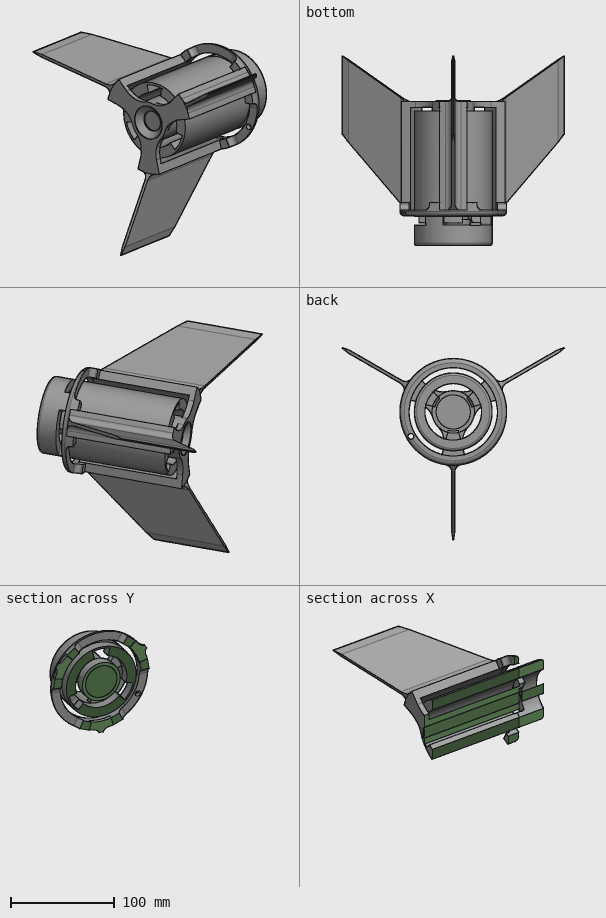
import cadquery as cq
import math


CLEARANCE = 2.1

REPEATS = 3
REPEAT_ANGLE = 360 / REPEATS
RING_RADIUS = 103.2 / 2
RING_BORE_RADIUS = 85.2 / 2
RING_REAR_Y = 105.0
RING_FRONT_Y = 110.5
RING_EDGE_FILLET = 4.3

ARM_HALF_ANGLE = 14.8
PAD_HALF_ANGLE = 26.2
PAD_REAR_Y = 97.8
PAD_FILLET = 5.8

SPIDER_THICKNESS = 5.8
CROWN_Z = 20.2
WAIST_X = 12.7
WAIST_Z = 19.5
NECK_X = 20.5
NECK_Z = 22.3

VENT_RADIUS = 5.4 / 2
VENT_CIRCLE_RADIUS = 47.2
VENT_ANGLE = -30

FIN_HALF_THICKNESS = 1.6
FIN_ROOT_FILLET = 7.0
FIN_TIP_RADIUS = 123.5
FIN_TIP_HALF_THICKNESS = 0.5
FIN_BEVEL_RADIUS = 115.9
FIN_ROOT_RADIUS = 51.7
FIN_TIP_FRONT_Y = 31.8
FIN_TIP_REAR_Y = -44.0

CORE_RADIUS = 41.0 / 2
LUG_INNER_RADIUS = 18.5
LUG_RADIUS = 34.3
LUG_HALF_ANGLE = 15
LUG_FRONT_Y = 117.4
LUG_CHAMFER = 2.1

TUBE_RADIUS = 75.3 / 2
TUBE_BORE_RADIUS = 27.2
TUBE_REAR_Y = 9.2
TUBE_FRONT_Y = 111.1
CHANNEL_RADIUS = 35.2
CAP_SHOULDER_Y = 119.5
CAP_FRONT_Y = 139.2
CAP_EDGE_FILLET = 2.4
POST_HALF_ANGLE = 15
WINDOW_FILLET = 1.3

MOTOR_RADIUS = 33.0 / 2
MOTOR_NECK_RADIUS = 29.0 / 2
MOTOR_REAR_Y = -0.9
NECK_FRONT_Y = 114.0
THROAT_RADIUS = 20.0 / 2
NOZZLE_DEPTH = 6.5
THROAT_DEPTH = 1.5

ARM_ANGLES = [30 + i * REPEAT_ANGLE for i in range(REPEATS)]
CHANNEL_ANGLES = [90 + i * REPEAT_ANGLE for i in range(REPEATS)]
WINDOW_ANGLES = [60 + i * REPEAT_ANGLE for i in range(REPEATS)]


def plane_at(y):
    """XZ sketch plane at the given Y; extrusions from it run towards -Y."""
    return cq.Workplane("XZ", origin=(0, y, 0))


def polar(radius, angle):
    """X and Z of a point given by its distance from the axis and its direction."""
    return (radius * math.cos(math.radians(angle)), radius * math.sin(math.radians(angle)))


def disc(radius, rear_y, front_y):
    return plane_at(front_y).circle(radius).extrude(front_y - rear_y)


def tube_between(radius, bore_radius, rear_y, front_y):
    return plane_at(front_y).circle(radius).circle(bore_radius).extrude(front_y - rear_y)


def sector(inner_radius, radius, angle, half_angle, rear_y, front_y):
    """Block bounded by two arcs about the axis and two radial faces."""
    start = angle - half_angle
    end = angle + half_angle
    return (
        plane_at(front_y)
        .moveTo(*polar(inner_radius, start))
        .lineTo(*polar(radius, start))
        .threePointArc(polar(radius, angle), polar(radius, end))
        .lineTo(*polar(inner_radius, end))
        .threePointArc(polar(inner_radius, angle), polar(inner_radius, start))
        .close()
        .extrude(front_y - rear_y)
    )


def turned(shape, angle):
    """Turn a shape about the axis, from +X towards +Z for a positive angle."""
    return shape.rotate((0, 0, 0), (0, 1, 0), -angle)


def rounded_band(radius, bore_radius, rear_y, front_y, edge_fillet):
    """Turned band whose outer front edge is rounded."""
    arc_inset = edge_fillet * (1 - math.sqrt(0.5))
    return (
        cq.Workplane("XY")
        .moveTo(bore_radius, rear_y)
        .lineTo(radius, rear_y)
        .lineTo(radius, front_y - edge_fillet)
        .threePointArc((radius - arc_inset, front_y - arc_inset), (radius - edge_fillet, front_y))
        .lineTo(bore_radius, front_y)
        .close()
        .revolve(360, (0, 0, 0), (0, 1, 0))
    )


def make_ring():
    """Front ring with pads on its rear face; the end of each arm sits in a socket between pads."""
    ring = rounded_band(RING_RADIUS, RING_BORE_RADIUS, PAD_REAR_Y, RING_FRONT_Y, RING_EDGE_FILLET)
    gap = sector(
        RING_BORE_RADIUS - CLEARANCE,
        RING_RADIUS + CLEARANCE,
        0,
        REPEAT_ANGLE / 2 - PAD_HALF_ANGLE,
        PAD_REAR_Y - CLEARANCE,
        RING_REAR_Y,
    )
    gap = gap.faces(">Y").edges("%LINE").fillet(PAD_FILLET)
    for angle in CHANNEL_ANGLES:
        ring = ring.cut(turned(gap, angle))
    for angle in ARM_ANGLES:
        socket = sector(
            RING_BORE_RADIUS - CLEARANCE,
            RING_RADIUS + CLEARANCE,
            angle,
            ARM_HALF_ANGLE,
            PAD_REAR_Y - CLEARANCE,
            RING_REAR_Y,
        )
        ring = ring.cut(socket)
    vent_x, vent_z = polar(VENT_CIRCLE_RADIUS, VENT_ANGLE)
    vent = disc(VENT_RADIUS, RING_REAR_Y, RING_FRONT_Y).translate((vent_x, 0, vent_z))
    return ring.cut(vent)


def make_spider():
    """Rear plate: three legs whose sides flow into each other around the core."""
    gap_half_angle = REPEAT_ANGLE / 2 - ARM_HALF_ANGLE
    legs = disc(RING_BORE_RADIUS, 0, SPIDER_THICKNESS)
    gap = (
        plane_at(SPIDER_THICKNESS)
        .moveTo(*polar(TUBE_RADIUS, 90 - gap_half_angle))
        .spline(
            [
                (NECK_X, NECK_Z),
                (WAIST_X, WAIST_Z),
                (0, CROWN_Z),
                (-WAIST_X, WAIST_Z),
                (-NECK_X, NECK_Z),
                polar(TUBE_RADIUS, 90 + gap_half_angle),
            ],
            includeCurrent=True,
        )
        .lineTo(*polar(RING_RADIUS, 90 + gap_half_angle))
        .threePointArc((0, RING_RADIUS), polar(RING_RADIUS, 90 - gap_half_angle))
        .close()
        .extrude(SPIDER_THICKNESS)
    )
    for i in range(REPEATS):
        legs = legs.cut(turned(gap, i * REPEAT_ANGLE))
    return legs


def make_arm_with_fin():
    """Arm along the +X side, its outside blending into a bevelled fin."""
    blend_v = FIN_HALF_THICKNESS + FIN_ROOT_FILLET
    blend_distance = RING_RADIUS + FIN_ROOT_FILLET
    blend_u = math.sqrt(blend_distance**2 - blend_v**2)
    foot_angle = math.degrees(math.atan2(blend_v, blend_u))
    foot_u, foot_v = polar(RING_RADIUS, foot_angle)
    middle_u, middle_v = polar(FIN_ROOT_FILLET, 180 + (foot_angle + 90) / 2)
    middle_u += blend_u
    middle_v += blend_v
    shoulder_angle = (foot_angle + ARM_HALF_ANGLE) / 2
    section = (
        plane_at(RING_REAR_Y)
        .moveTo(*polar(RING_BORE_RADIUS, ARM_HALF_ANGLE))
        .lineTo(*polar(RING_RADIUS, ARM_HALF_ANGLE))
        .threePointArc(polar(RING_RADIUS, shoulder_angle), (foot_u, foot_v))
        .threePointArc((middle_u, middle_v), (blend_u, FIN_HALF_THICKNESS))
        .lineTo(FIN_BEVEL_RADIUS, FIN_HALF_THICKNESS)
        .lineTo(FIN_TIP_RADIUS, FIN_TIP_HALF_THICKNESS)
        .lineTo(FIN_TIP_RADIUS, -FIN_TIP_HALF_THICKNESS)
        .lineTo(FIN_BEVEL_RADIUS, -FIN_HALF_THICKNESS)
        .lineTo(blend_u, -FIN_HALF_THICKNESS)
        .threePointArc((middle_u, -middle_v), (foot_u, -foot_v))
        .threePointArc(polar(RING_RADIUS, -shoulder_angle), polar(RING_RADIUS, -ARM_HALF_ANGLE))
        .lineTo(*polar(RING_BORE_RADIUS, -ARM_HALF_ANGLE))
        .threePointArc((RING_BORE_RADIUS, 0), polar(RING_BORE_RADIUS, ARM_HALF_ANGLE))
        .close()
        .extrude(RING_REAR_Y - FIN_TIP_REAR_Y)
    )
    outline = (
        cq.Workplane("XY")
        .polyline([
            (0, 0),
            (FIN_ROOT_RADIUS, 0),
            (FIN_TIP_RADIUS, FIN_TIP_REAR_Y),
            (FIN_TIP_RADIUS, FIN_TIP_FRONT_Y),
            (FIN_ROOT_RADIUS, RING_REAR_Y),
            (0, RING_REAR_Y),
        ])
        .close()
        .extrude(RING_RADIUS, both=True)
    )
    return section.intersect(outline)


def make_lug(angle):
    """Locking lug that sits on the front end of the tube, chamfered at its inner front edge."""
    lug = sector(LUG_INNER_RADIUS, LUG_RADIUS, angle, LUG_HALF_ANGLE, TUBE_FRONT_Y, LUG_FRONT_Y)
    x, z = polar(LUG_INNER_RADIUS, angle)
    inner_edge = cq.selectors.NearestToPointSelector((x, LUG_FRONT_Y, z))
    return lug.edges(inner_edge).chamfer(LUG_CHAMFER)


def make_fin_can():
    """Spider, core sleeve, arms with fins and locking lugs in one piece."""
    fin_can = make_spider().union(disc(CORE_RADIUS, 0, TUBE_FRONT_Y))
    arm = make_arm_with_fin()
    for angle in ARM_ANGLES:
        fin_can = fin_can.union(turned(arm, angle)).union(make_lug(angle))
    return fin_can.cut(disc(MOTOR_RADIUS, 0, TUBE_FRONT_Y))


def make_tube():
    """Thick tube with lengthwise channels that let the lugs slide in."""
    tube = tube_between(TUBE_RADIUS, TUBE_BORE_RADIUS, TUBE_REAR_Y, TUBE_FRONT_Y)
    for angle in CHANNEL_ANGLES:
        tube = tube.cut(
            sector(CORE_RADIUS, CHANNEL_RADIUS, angle, LUG_HALF_ANGLE, TUBE_REAR_Y, TUBE_FRONT_Y)
        )
    return tube


def make_cap():
    """Ring-shaped cap standing on the tube on posts."""
    cap = rounded_band(TUBE_RADIUS, TUBE_BORE_RADIUS, TUBE_FRONT_Y, CAP_FRONT_Y, CAP_EDGE_FILLET)
    for angle in WINDOW_ANGLES:
        window = sector(
            TUBE_BORE_RADIUS - CLEARANCE,
            TUBE_RADIUS + CLEARANCE,
            angle,
            REPEAT_ANGLE / 2 - POST_HALF_ANGLE,
            TUBE_FRONT_Y - CLEARANCE,
            CAP_SHOULDER_Y,
        )
        cap = cap.cut(window.faces(">Y").edges("%LINE").fillet(WINDOW_FILLET))
    return cap


def make_motor():
    """Motor filling the core, with a conical nozzle at the rear and a narrow neck inside the lugs."""
    nozzle_end_y = MOTOR_REAR_Y + NOZZLE_DEPTH
    throat_end_y = nozzle_end_y + THROAT_DEPTH
    half_section = [
        (0, throat_end_y),
        (THROAT_RADIUS, throat_end_y),
        (THROAT_RADIUS, nozzle_end_y),
        (MOTOR_RADIUS, MOTOR_REAR_Y),
        (MOTOR_RADIUS, TUBE_FRONT_Y),
        (MOTOR_NECK_RADIUS, TUBE_FRONT_Y),
        (MOTOR_NECK_RADIUS, NECK_FRONT_Y),
        (MOTOR_RADIUS, NECK_FRONT_Y),
        (MOTOR_RADIUS, CAP_FRONT_Y),
        (0, CAP_FRONT_Y),
    ]
    return cq.Workplane("XY").polyline(half_section).close().revolve(360, (0, 0, 0), (0, 1, 0))


fin_can = make_fin_can()
ring = make_ring()
tube = make_tube()
cap = make_cap()
motor = make_motor()

result = cq.Compound.makeCompound([fin_can.val(), ring.val(), tube.val(), cap.val(), motor.val()])